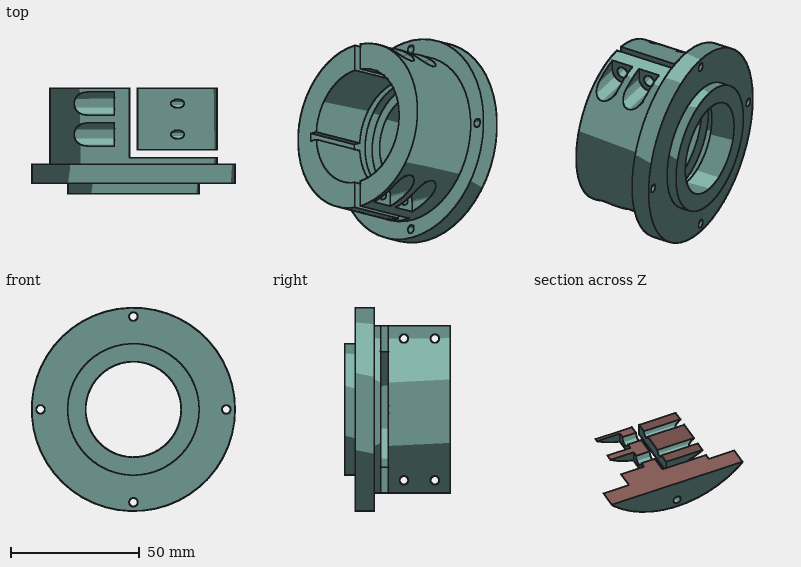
import cadquery as cq

SPIGOT_DIAMETER = 51.0
FLANGE_DIAMETER = 79.0
COLLAR_DIAMETER = 65.0
BORE_DIAMETER = 37.0
SEAT_DIAMETER = 45.0

FLANGE_FRONT = 4.0
FLANGE_BACK = 11.5
SEAT_FLOOR = 10.0
LIP_BACK = 14.0
CAP_FRONT = 17.0
COLLAR_BACK = 41.0

HALF_GAP = 1.5

KEYWAY_WIDTH = 2 * HALF_GAP
KEYWAY_DEPTH = 3.0

FLANGE_HOLE_DIAMETER = 3.2
FLANGE_HOLE_RADIUS = 36.0
FLANGE_HOLE_COUNT = 4

SCREW_STATIONS = (23.0, 35.0)
SCREW_HEIGHT = 27.5
CLEARANCE_DIAMETER = 4.5
THREAD_DIAMETER = 3.2
POCKET_WIDTH = 9.0
POCKET_FLOOR_X = -7.4


def disc(diameter, start, end):
    """Solid cylinder on the Y axis between two stations."""
    return cq.Workplane("XZ", origin=(0, start, 0)).circle(diameter / 2).extrude(start - end)


def block(x_start, x_end, y_start, y_end, z_start, z_end):
    """Box given by its limits along each axis."""
    size = (x_end - x_start, y_end - y_start, z_end - z_start)
    return cq.Workplane("XY", origin=(x_start, y_start, z_start)).box(*size, centered=False)


def screw_cylinders(diameter, x_start, x_end):
    """Cylinders along X on all four clamp screw axes."""
    axes = [(y, side * SCREW_HEIGHT) for y in SCREW_STATIONS for side in (-1, 1)]
    plane = cq.Workplane("YZ", origin=(x_start, 0, 0))
    return plane.pushPoints(axes).circle(diameter / 2).extrude(x_end - x_start)


def cut_screw_pockets(body):
    """Round-bottomed screw head pockets, open to the outside of the collar."""
    outer_x = -COLLAR_DIAMETER / 2
    outer_z = COLLAR_DIAMETER / 2
    body = body.cut(screw_cylinders(POCKET_WIDTH, outer_x, POCKET_FLOOR_X))
    for y in SCREW_STATIONS:
        y_start = y - POCKET_WIDTH / 2
        y_end = y + POCKET_WIDTH / 2
        body = body.cut(block(outer_x, POCKET_FLOOR_X, y_start, y_end, SCREW_HEIGHT, outer_z))
        body = body.cut(block(outer_x, POCKET_FLOOR_X, y_start, y_end, -outer_z, -SCREW_HEIGHT))
    return body


def flange_holes():
    """Mounting holes evenly spaced around the flange."""
    return (
        cq.Workplane("XZ", origin=(0, FLANGE_FRONT, 0))
        .polarArray(FLANGE_HOLE_RADIUS, 0, 360, FLANGE_HOLE_COUNT)
        .circle(FLANGE_HOLE_DIAMETER / 2)
        .extrude(FLANGE_FRONT - FLANGE_BACK)
    )


def make_housing():
    """Spigot, flange and the fixed half of the split collar."""
    radius = COLLAR_DIAMETER / 2
    body = disc(SPIGOT_DIAMETER, 0, FLANGE_FRONT)
    body = body.union(disc(FLANGE_DIAMETER, FLANGE_FRONT, FLANGE_BACK))
    body = body.union(disc(COLLAR_DIAMETER, FLANGE_BACK, COLLAR_BACK))
    body = body.cut(disc(BORE_DIAMETER, 0, SEAT_FLOOR))
    body = body.cut(disc(SEAT_DIAMETER, SEAT_FLOOR, COLLAR_BACK))
    body = body.cut(block(-HALF_GAP, radius, LIP_BACK, COLLAR_BACK, -radius, radius))
    body = body.cut(flange_holes())
    body = cut_screw_pockets(body)
    return body.cut(screw_cylinders(CLEARANCE_DIAMETER, POCKET_FLOOR_X, -HALF_GAP))


def keyway():
    """Straight slot along the seat on the +X side of the cap."""
    floor_x = SEAT_DIAMETER / 2 + KEYWAY_DEPTH
    return block(HALF_GAP, floor_x, CAP_FRONT, COLLAR_BACK, -KEYWAY_WIDTH / 2, KEYWAY_WIDTH / 2)


def make_clamp_cap():
    """Loose half of the split collar, with a keyway and through holes for the clamp screws."""
    radius = COLLAR_DIAMETER / 2
    body = disc(COLLAR_DIAMETER, CAP_FRONT, COLLAR_BACK)
    body = body.cut(disc(SEAT_DIAMETER, CAP_FRONT, COLLAR_BACK))
    body = body.intersect(block(HALF_GAP, radius, CAP_FRONT, COLLAR_BACK, -radius, radius))
    body = body.cut(keyway())
    return body.cut(screw_cylinders(THREAD_DIAMETER, HALF_GAP, radius))


housing = make_housing()
clamp_cap = make_clamp_cap()

result = cq.Compound.makeCompound([housing.val(), clamp_cap.val()])